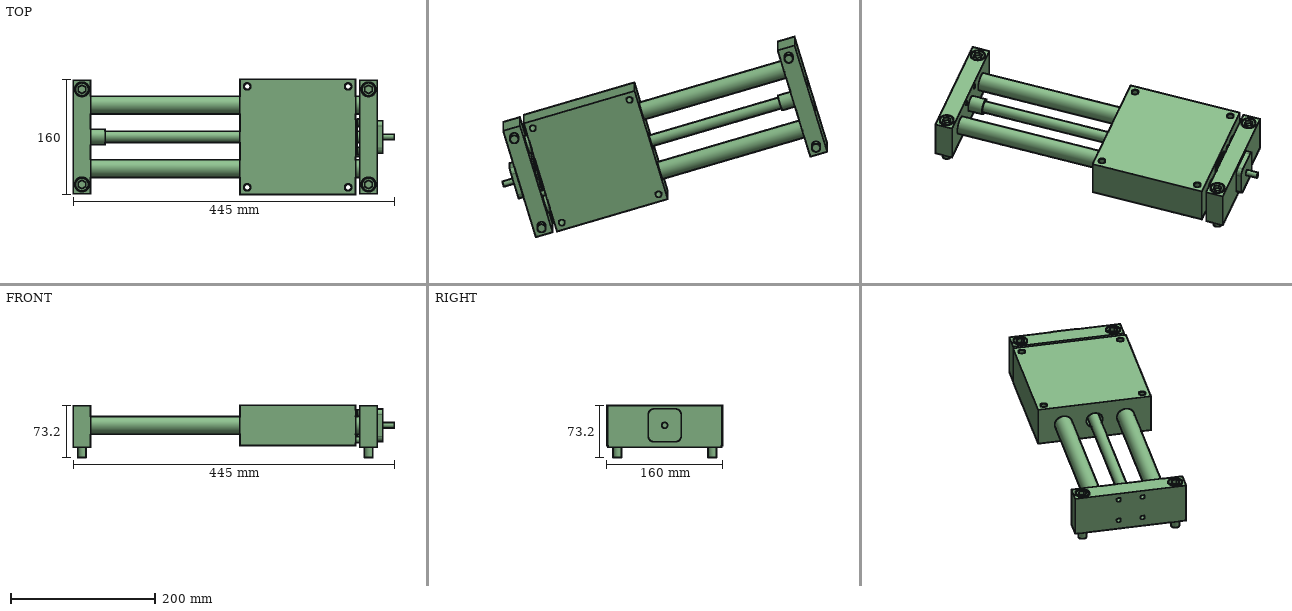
import cadquery as cq
import math


total_length = 445.0
plate_thickness = 24.5
tail_length = 16.0
flange_thickness = 7.5
table_gap = 6.0
table_length = 160.0
far_plate_x = total_length - tail_length - flange_thickness - plate_thickness
far_plate_outer_x = far_plate_x + plate_thickness
table_x = far_plate_x - table_gap - table_length
table_end_x = table_x + table_length

table_width = 160.0
table_height = 56.0
table_hole_spacing = 139.7
table_hole_diameter = 8.5
table_hole_mouth_diameter = 10.0
countersink_angle = 90
screw_clearance_diameter = 23.0

nut_flange_thickness = 2.2
nut_flange_radius = 21.0
nut_lobe_radius = 6.0
nut_lobe_y = -18.2
nut_lobe_z = nut_flange_radius - nut_lobe_radius

plate_width = 157.5
plate_height = 58.0
plate_top_drop = 1.0
plate_top_z = table_height / 2 - plate_top_drop
plate_bottom_z = plate_top_z - plate_height
near_hole_spacing = 34.0
near_hole_diameter = 6.2

rod_diameter = 25.0
rod_spacing = 88.0
screw_diameter = 16.0
collar_diameter = 22.0
collar_length = 20.0
tail_diameter = 8.0

flange_size = 45.5
flange_corner_radius = 7.5

screw_head_diameter = 10.5
screw_head_height = 3.0
screw_head_chamfer = 0.5
screw_head_spacing_y = 39.0
screw_head_spacing_z = 33.0
pin_diameter = 8.5
pin_y = -23.5
pin_z = -20.0

bolt_spacing = 131.5
bolt_diameter = 12.0
bolt_protrusion = 14.2
bolt_tip_chamfer = 0.5
bolt_head_diameter = 18.0
bolt_head_height = 12.0
counterbore_diameter = 20.0
socket_width = 10.2
socket_depth = 6.2


def rod_along_x(diameter, x_start, x_end, y=0.0, z=0.0):
    """Round bar parallel to X."""
    return (
        cq.Workplane("YZ", origin=(x_start, y, z))
        .circle(diameter / 2)
        .extrude(x_end - x_start)
    )


def grid(spacing_a, spacing_b):
    """Four corner points of a rectangle about the origin."""
    return [(a * spacing_a / 2, b * spacing_b / 2) for a in (-1, 1) for b in (-1, 1)]


def nut_flange():
    """Round disc with two opposite lobes, joined by straight tangent edges."""
    lobe_distance = math.hypot(nut_lobe_y, nut_lobe_z)
    lobe_angle = math.atan2(nut_lobe_z, nut_lobe_y)
    tangent_angle = math.acos((nut_flange_radius - nut_lobe_radius) / lobe_distance)

    def polar(radius, angle, center=(0.0, 0.0)):
        return (center[0] + radius * math.cos(angle), center[1] + radius * math.sin(angle))

    base = cq.Workplane("YZ", origin=(table_end_x, 0, 0))
    flange = base.circle(nut_flange_radius).extrude(nut_flange_thickness)
    for angle in (lobe_angle, lobe_angle + math.pi):
        center = polar(lobe_distance, angle)
        first = angle - tangent_angle
        last = angle + tangent_angle
        lobe = (
            base.moveTo(0, 0)
            .lineTo(*polar(nut_flange_radius, first))
            .lineTo(*polar(nut_lobe_radius, first, center))
            .threePointArc(
                polar(nut_lobe_radius, angle, center),
                polar(nut_lobe_radius, last, center),
            )
            .lineTo(*polar(nut_flange_radius, last))
            .close()
            .extrude(nut_flange_thickness)
        )
        flange = flange.union(lobe)
    return flange


def make_table():
    """Moving table with corner holes and a nut flange, bored for the rods and the screw."""
    table = cq.Workplane("XY").box(table_length, table_width, table_height)
    table = (
        table.faces(">Z")
        .workplane()
        .pushPoints(grid(table_hole_spacing, table_hole_spacing))
        .cskHole(table_hole_diameter, table_hole_mouth_diameter, countersink_angle)
    )
    table = table.translate((table_x + table_length / 2, 0, 0)).union(nut_flange())
    for side in (-1, 1):
        table = table.cut(rod_along_x(rod_diameter, 0, total_length, side * rod_spacing / 2))
    return table.cut(rod_along_x(screw_clearance_diameter, 0, total_length))


def bolt(x, y):
    """Socket head bolt with its head flush with the plate top."""
    shank_bottom_z = plate_bottom_z - bolt_protrusion
    shank = (
        cq.Workplane("XY", origin=(x, y, shank_bottom_z))
        .circle(bolt_diameter / 2)
        .extrude(plate_top_z - shank_bottom_z)
        .faces("<Z")
        .chamfer(bolt_tip_chamfer)
    )
    head = (
        cq.Workplane("XY", origin=(x, y, plate_top_z - bolt_head_height))
        .circle(bolt_head_diameter / 2)
        .extrude(bolt_head_height)
    )
    socket = (
        cq.Workplane("XY", origin=(x, y, plate_top_z))
        .polygon(6, socket_width, circumscribed=True)
        .extrude(-socket_depth)
    )
    return shank.union(head).cut(socket)


def end_plate(x_start):
    """End plate with its two bolts in counterbores."""
    plate = cq.Workplane("XY", origin=(x_start, 0, plate_bottom_z)).box(
        plate_thickness, plate_width, plate_height, centered=(False, True, False)
    )
    bolt_x = x_start + plate_thickness / 2
    for side in (-1, 1):
        bolt_y = side * bolt_spacing / 2
        counterbore = (
            cq.Workplane("XY", origin=(bolt_x, bolt_y, plate_top_z))
            .circle(counterbore_diameter / 2)
            .extrude(-bolt_head_height)
        )
        plate = plate.cut(counterbore).union(bolt(bolt_x, bolt_y))
    return plate


def near_plate():
    """First end plate, with four holes around the screw axis."""
    plate = end_plate(0)
    for y, z in grid(near_hole_spacing, near_hole_spacing):
        plate = plate.cut(rod_along_x(near_hole_diameter, 0, plate_thickness, y, z))
    return plate


def far_plate():
    """Second end plate, with the motor flange, its screw heads and the stop pin."""
    flange = (
        cq.Workplane("YZ", origin=(far_plate_outer_x, 0, 0))
        .rect(flange_size, flange_size)
        .extrude(flange_thickness)
        .edges("|X")
        .fillet(flange_corner_radius)
    )
    plate = end_plate(far_plate_x).union(flange)
    for y, z in grid(screw_head_spacing_y, screw_head_spacing_z):
        head = rod_along_x(screw_head_diameter, far_plate_x - screw_head_height, far_plate_x, y, z)
        plate = plate.union(head.faces("<X").chamfer(screw_head_chamfer))
    return plate.union(rod_along_x(pin_diameter, table_end_x, far_plate_x, pin_y, pin_z))


def make_frame():
    """Fixed frame: both end plates joined by the rods and the screw."""
    frame = near_plate().union(far_plate())
    for side in (-1, 1):
        rod = rod_along_x(rod_diameter, plate_thickness, far_plate_x, side * rod_spacing / 2)
        frame = frame.union(rod)
    screw = rod_along_x(screw_diameter, plate_thickness, far_plate_x)
    collar = rod_along_x(collar_diameter, plate_thickness, plate_thickness + collar_length)
    tail = rod_along_x(tail_diameter, far_plate_outer_x, total_length)
    return frame.union(screw).union(collar).union(tail)


table = make_table()
frame = make_frame()

result = cq.Compound.makeCompound([table.solids().val(), frame.solids().val()])